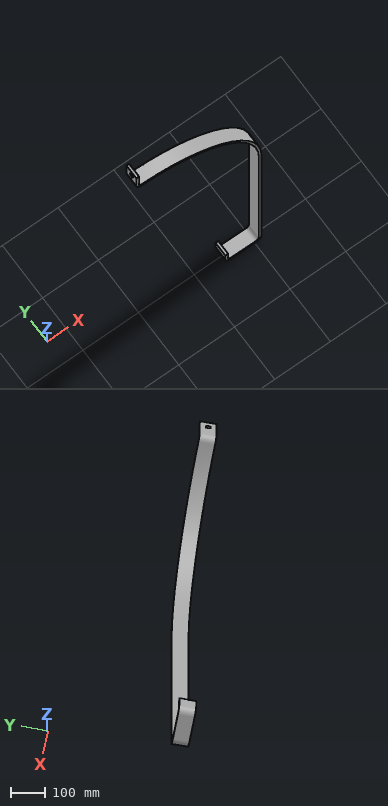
import cadquery as cq
import math

HEIGHT = 1240.0
REACH = 450.0
WIDTH = 50.0
THICKNESS = 10.0

BEND_OUTER_RADIUS = 25.0
TOP_TAB_LENGTH = 66.0
HOOK_WIDTH = 130.0
HOOK_TIP_HEIGHT = 62.0
HOOK_FLOOR_TILT = 2.0

HOLE_DIAMETER = 15.0
HOLE_DROP = 30.0

TOUCHING = 1.24e-05

half = THICKNESS / 2
bend_radius = BEND_OUTER_RADIUS - half
sweep_radius = REACH - half

top_bend_centre = (BEND_OUTER_RADIUS, HEIGHT - TOP_TAB_LENGTH)
centre_distance = bend_radius + sweep_radius
sweep_angle = math.degrees(math.acos(BEND_OUTER_RADIUS / centre_distance))
sweep_centre = (0, top_bend_centre[1] - centre_distance * math.sin(math.radians(sweep_angle)))

hook_left = REACH - HOOK_WIDTH
floor_rise = (HOOK_WIDTH - 2 * BEND_OUTER_RADIUS) * math.tan(math.radians(HOOK_FLOOR_TILT))
heel_centre = (REACH - BEND_OUTER_RADIUS, BEND_OUTER_RADIUS)
toe_centre = (hook_left + BEND_OUTER_RADIUS, BEND_OUTER_RADIUS + floor_rise)
floor_angle = -90 - HOOK_FLOOR_TILT

ARCS = [
    (top_bend_centre, bend_radius, 180, 180 + sweep_angle, -1),
    (sweep_centre, sweep_radius, sweep_angle, 0, 1),
    (heel_centre, bend_radius, 0, floor_angle, 1),
    (toe_centre, bend_radius, floor_angle, -180, 1),
]


def polar(centre, radius, angle):
    a = math.radians(angle)
    return (centre[0] + radius * math.cos(a), centre[1] + radius * math.sin(a))


def face_arcs(offset):
    """Start, middle and end points of each arc at an offset from the middle line."""
    arcs = []
    for centre, radius, start, end, side in ARCS:
        face_radius = radius + side * offset
        arcs.append([polar(centre, face_radius, a) for a in (start, (start + end) / 2, end)])
    return arcs


def add_arcs(profile, arcs):
    """Draw arcs in order, joined by straight lines where they do not already touch."""
    last_end = None
    for start, middle, end in arcs:
        if last_end is None or math.dist(last_end, start) > TOUCHING:
            profile = profile.lineTo(*start)
        profile = profile.threePointArc(middle, end)
        last_end = end
    return profile


def make_bar():
    outer = face_arcs(half)
    inner = [arc[::-1] for arc in reversed(face_arcs(-half))]
    profile = cq.Workplane("XZ", origin=(0, WIDTH / 2, 0))
    profile = profile.moveTo(THICKNESS, HEIGHT)
    profile = add_arcs(profile, outer)
    profile = profile.lineTo(hook_left, HOOK_TIP_HEIGHT)
    profile = profile.lineTo(hook_left + THICKNESS, HOOK_TIP_HEIGHT)
    profile = add_arcs(profile, inner)
    profile = profile.lineTo(0, HEIGHT)
    return profile.close().extrude(WIDTH)


def make_hole():
    hole = cq.Workplane("YZ").center(0, HEIGHT - HOLE_DROP)
    return hole.circle(HOLE_DIAMETER / 2).extrude(THICKNESS)


result = make_bar().cut(make_hole())